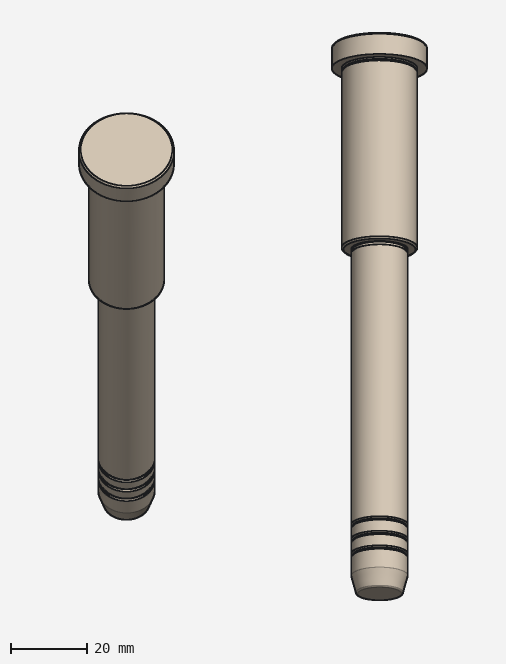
import cadquery as cq
import math

total_length = 151.0

head_diameter = 25.0
head_height = 6.0
head_chamfer = 0.5

collar_diameter = 20.0
collar_length = 50.0
collar_chamfer = 0.5

shank_diameter = 15.0

groove_width = 1.0

groove_depth = 0.5
groove_side_width = 0.38
groove_count = 3
groove_spacing = 3.0
lowest_groove_bottom = 10.0

shank_relief_depth = 0.3
shank_relief_side_width = 0.2

tip_length = 5.0
tip_taper_angle = 15.0
tip_fillet = 0.5

head_bottom = total_length - head_height
collar_bottom = head_bottom - collar_length
groove_pitch = groove_width + groove_spacing
shank_radius = shank_diameter / 2
tip_radius = shank_radius - tip_length * math.tan(math.radians(tip_taper_angle))


def cylinder(diameter, bottom, top):
    """Solid cylinder on the Z axis between two heights."""
    return cq.Workplane("XY").workplane(offset=bottom).circle(diameter / 2).extrude(top - bottom)


def ring_groove(diameter, bottom, depth, side_width):
    """Ring that cuts a flat-floored groove with sloping sides into a cylinder of the given diameter."""
    surface_radius = diameter / 2
    floor_radius = surface_radius - depth
    outside_radius = surface_radius + depth
    top = bottom + groove_width
    section = [
        (outside_radius, bottom),
        (surface_radius, bottom),
        (floor_radius, bottom + side_width),
        (floor_radius, top - side_width),
        (surface_radius, top),
        (outside_radius, top),
    ]
    return cq.Workplane("XZ").polyline(section).close().revolve(360, (0, 0), (0, 1))


head = cylinder(head_diameter, head_bottom, total_length).faces(">Z").chamfer(head_chamfer)

collar = cylinder(collar_diameter, collar_bottom, head_bottom).faces("<Z").chamfer(collar_chamfer)
head_relief = ring_groove(collar_diameter, head_bottom - groove_width, groove_depth, groove_side_width)
collar = collar.cut(head_relief)

shank = cylinder(shank_diameter, tip_length, collar_bottom)
shank_relief = ring_groove(
    shank_diameter, collar_bottom - groove_width, shank_relief_depth, shank_relief_side_width
)
shank = shank.cut(shank_relief)
for index in range(groove_count):
    groove_bottom = lowest_groove_bottom + index * groove_pitch
    shank = shank.cut(ring_groove(shank_diameter, groove_bottom, groove_depth, groove_side_width))

tip = (
    cq.Workplane("XZ")
    .polyline([(0, 0), (tip_radius, 0), (shank_radius, tip_length), (0, tip_length)])
    .close()
    .revolve(360, (0, 0), (0, 1))
    .faces("<Z")
    .edges()
    .fillet(tip_fillet)
)

result = head.union(collar).union(shank).union(tip)